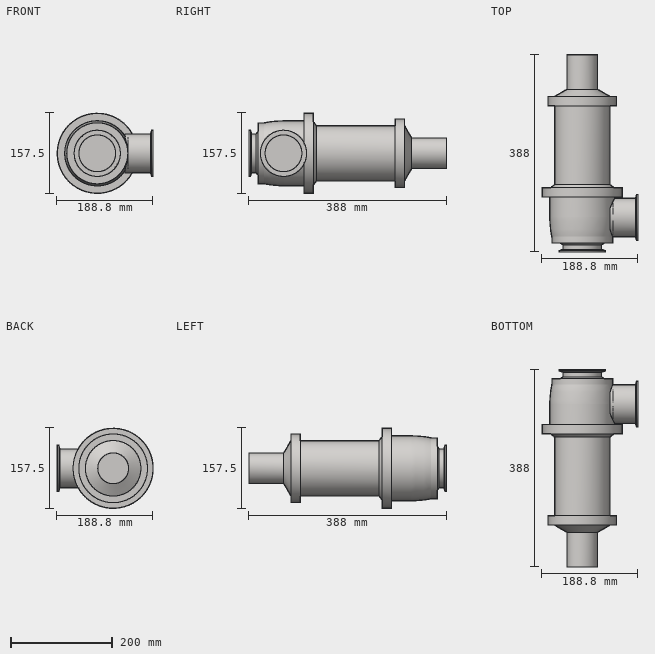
import cadquery as cq

total_length = 388.0

ferrule_diameter = 91.0
neck_diameter = 76.5
bore_diameter = 72.2
rim_thickness = 3.0
rim_taper_end = 5.5

inlet_neck_end = 14.5
inlet_weld_diameter = 87.0
inlet_bore_depth = 30.0

housing_front = 18.0
nose_end = 30.0
shoulder_end = 68.5
nose_diameter = 120.0
housing_diameter = 128.0

flange_thickness = 18.5
main_flange_front = 108.0
main_flange_diameter = 157.5
collar_end = 132.7
collar_diameter = 125.0
barrel_diameter = 109.0
rear_flange_front = 287.2
rear_flange_diameter = 135.0

reducer_end = 320.0
rear_pipe_diameter = 60.5

outlet_reach = 110.0
outlet_position = 68.0
outlet_pipe_start = 54.7
outlet_bore_end = 60.5


def make_main_body():
    """Revolve the half outline of everything on the main axis."""
    main_flange_back = main_flange_front + flange_thickness
    rear_flange_back = rear_flange_front + flange_thickness
    housing_radius = housing_diameter / 2
    shoulder_length = shoulder_end - nose_end
    shoulder_drop = (housing_diameter - nose_diameter) / 2
    shoulder_radius = (shoulder_length**2 + shoulder_drop**2) / (2 * shoulder_drop)
    half_length = shoulder_length / 2
    mid_drop = shoulder_radius - (shoulder_radius**2 - half_length**2) ** 0.5
    shoulder_middle = (housing_radius - mid_drop, shoulder_end - half_length)

    outline = (
        cq.Workplane("XY")
        .moveTo(0, 0)
        .lineTo(ferrule_diameter / 2, 0)
        .lineTo(ferrule_diameter / 2, rim_thickness)
        .lineTo(neck_diameter / 2, rim_taper_end)
        .lineTo(neck_diameter / 2, inlet_neck_end)
        .lineTo(inlet_weld_diameter / 2, housing_front)
        .lineTo(nose_diameter / 2, housing_front)
        .lineTo(nose_diameter / 2, nose_end)
        .threePointArc(shoulder_middle, (housing_radius, shoulder_end))
        .lineTo(housing_radius, main_flange_front)
        .lineTo(main_flange_diameter / 2, main_flange_front)
        .lineTo(main_flange_diameter / 2, main_flange_back)
        .lineTo(collar_diameter / 2, main_flange_back)
        .lineTo(barrel_diameter / 2, collar_end)
        .lineTo(barrel_diameter / 2, rear_flange_front)
        .lineTo(rear_flange_diameter / 2, rear_flange_front)
        .lineTo(rear_flange_diameter / 2, rear_flange_back)
        .lineTo(barrel_diameter / 2, rear_flange_back)
        .lineTo(rear_pipe_diameter / 2, reducer_end)
        .lineTo(rear_pipe_diameter / 2, total_length)
        .lineTo(0, total_length)
        .close()
    )
    return outline.revolve(360, (0, 0), (0, 1))


def make_side_outlet():
    """Revolve the outlet pipe and its ferrule about the X direction."""
    outline = (
        cq.Workplane("XY", origin=(0, outlet_position, 0))
        .moveTo(outlet_pipe_start, 0)
        .lineTo(outlet_reach, 0)
        .lineTo(outlet_reach, ferrule_diameter / 2)
        .lineTo(outlet_reach - rim_thickness, ferrule_diameter / 2)
        .lineTo(outlet_reach - rim_taper_end, neck_diameter / 2)
        .lineTo(outlet_pipe_start, neck_diameter / 2)
        .close()
    )
    return outline.revolve(360, (0, 0), (1, 0))


def make_bore(start, direction, depth):
    """Cylinder cutter for a blind ferrule bore."""
    return cq.Workplane(cq.Solid.makeCylinder(
        bore_diameter / 2, depth, cq.Vector(*start), cq.Vector(*direction)
    ))


inlet_bore = make_bore((0, 0, 0), (0, 1, 0), inlet_bore_depth)
outlet_bore = make_bore(
    (outlet_reach, outlet_position, 0), (-1, 0, 0), outlet_reach - outlet_bore_end
)
result = make_main_body().union(make_side_outlet()).cut(inlet_bore).cut(outlet_bore)